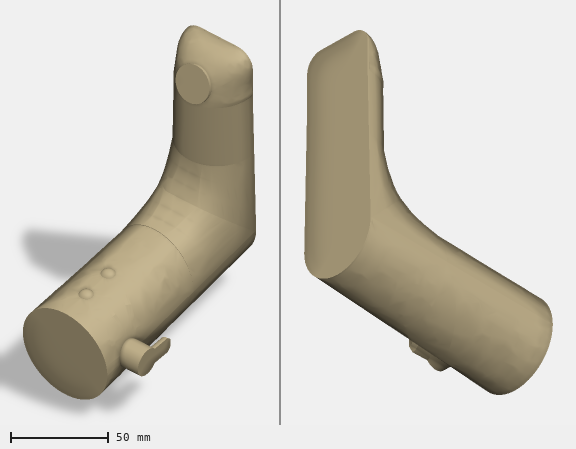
import cadquery as cq
import math

length = 127.5
height = 155.2
front_radius = 27.5
back_radius = 24.2
back_seam_height = 36.3
wall_strip = 1.0

column_depth = 24.4
head_base_height = 127.2
head_half_width = 22.0
head_corner_radius = 10.1
head_steps = 6
head_last_angle = 88.0

bend_radius = 27.0
top_slope = 0.08
bend_steps = 3
ellipse_exponent = 2
mitre_exponent = 3.0
quarter_steps = 6

sensor_radius = 10.7
sensor_thickness = 5.5
sensor_tilt = 18.0
sensor_center = (0, -21.9, 138.1)

button_radius = 3.7
button_rise = 1.9
button_positions = (-91.7, -110.0)

knob_radius = 7.9
knob_y = -109.0
knob_z = 30.0
knob_end = 38.8
knob_start = 15.5
lever_reach = 19.2
lever_radius = 4.8
lever_corner = 2.3

spout_run = length - wall_strip
slope_angle = math.atan(top_slope)


def top_height(y):
    """Height of the spout's sloping top line."""
    return 2 * front_radius + top_slope * (y + length)


def seam_height(y):
    """Height of the line of greatest width along the spout."""
    return front_radius + (back_seam_height - front_radius) * (y + length) / spout_run


def spout_half_width(y):
    return front_radius + (back_radius - front_radius) * (y + length) / spout_run


def column_half_width(z):
    """Half-width of the column, which narrows from the seam to the head."""
    rise = (z - back_seam_height) / (head_base_height - back_seam_height)
    return back_radius + (head_half_width - back_radius) * rise


def half_ellipse(seam, crest, half_width):
    """Closed half-ellipse from a seam point to a crest point, both given as (y, z)."""
    center = cq.Vector(0, *seam)
    reach = cq.Vector(0, *crest) - center
    side = cq.Vector(half_width, 0, 0)
    normal = side.cross(reach)
    if side.Length >= reach.Length:
        major_axis, minor_axis, start = side, reach, 0
    else:
        major_axis, minor_axis, start = reach, side, -90
    arc = cq.Edge.makeEllipse(
        major_axis.Length, minor_axis.Length, center, normal, major_axis, start, start + 180, 1
    )
    return cq.Wire.assembleEdges([arc, cq.Edge.makeLine(center - side, center + side)])


def full_half_section(seam, crest, half_width, exponent):
    """Half-section like half_ellipse, but squared out to a superellipse."""
    if exponent == ellipse_exponent:
        return half_ellipse(seam, crest, half_width)
    center = cq.Vector(0, *seam)
    reach = cq.Vector(0, *crest) - center
    side = cq.Vector(half_width, 0, 0)
    quarter = []
    for step in range(quarter_steps):
        angle = math.pi / 2 * step / quarter_steps
        quarter.append((math.cos(angle) ** (2 / exponent), math.sin(angle) ** (2 / exponent)))
    mirrored = [(-across, up) for across, up in reversed(quarter)]
    points = [center + side * across + reach * up for across, up in quarter + [(0, 1)] + mirrored]
    arc = cq.Edge.makeSpline(points, tangents=[reach, reach * -1])
    return cq.Wire.assembleEdges([arc, cq.Edge.makeLine(center - side, center + side)])


def loft(sections, ruled=False):
    return cq.Workplane(obj=cq.Solid.makeLoft(sections, ruled))


bend_y = -column_depth - bend_radius
bend_z = top_height(bend_y) + bend_radius / math.cos(slope_angle)
bend_end_angle = -math.pi / 2 - slope_angle
bend_mid_angle = bend_end_angle / 2


def bend_point(angle):
    return (bend_y + bend_radius * math.cos(angle), bend_z + bend_radius * math.sin(angle))


def bend_exponent(part):
    """Section fullness from the end of the bend (part = 0) to the mitre (part = 1)."""
    return ellipse_exponent + (mitre_exponent - ellipse_exponent) * part


def make_spout():
    """Tapered spout: half-round underside and a top that rises into the bend."""
    underside_sections = []
    for y in (-length, -wall_strip):
        seam = seam_height(y)
        half_width = spout_half_width(y)
        underside_sections.append(half_ellipse((y, seam), (y, seam - half_width), half_width))
    underside = loft(underside_sections, ruled=True)
    bend_start_y = bend_point(bend_end_angle)[0]
    straight = loft([
        half_ellipse((y, seam_height(y)), (y, top_height(y)), spout_half_width(y))
        for y in (-length, bend_start_y)
    ], ruled=True)
    sections = []
    for step in range(bend_steps + 1):
        part = step / bend_steps
        angle = bend_end_angle + (bend_mid_angle - bend_end_angle) * part
        y = bend_start_y + (-wall_strip - bend_start_y) * part
        seam = (y, seam_height(y))
        sections.append(
            full_half_section(seam, bend_point(angle), spout_half_width(y), bend_exponent(part))
        )
    return underside.union(straight).union(loft(sections))


def make_column():
    """Half-round column standing on the mitre and reaching the head."""
    sections = []
    for step in range(bend_steps + 1):
        part = step / bend_steps
        z = back_seam_height + (bend_z - back_seam_height) * part
        crest = bend_point(bend_mid_angle * (1 - part))
        sections.append(
            full_half_section((-wall_strip, z), crest, column_half_width(z), bend_exponent(1 - part))
        )
    upright = loft([
        half_ellipse((-wall_strip, z), (-column_depth, z), column_half_width(z))
        for z in (bend_z, head_base_height)
    ], ruled=True)
    return loft(sections).union(upright)


def make_head():
    """Head closing in an elliptical curve at the front and rounded upper corners."""
    head_rise = height - head_base_height
    corner_height = height - head_corner_radius
    sections = []
    for step in range(head_steps + 1):
        angle = math.radians(head_last_angle * step / head_steps)
        z = head_base_height + head_rise * math.sin(angle)
        crest_y = -wall_strip - (column_depth - wall_strip) * math.cos(angle)
        above = max(0, z - corner_height)
        inset = head_corner_radius - math.sqrt(head_corner_radius**2 - above**2)
        sections.append(half_ellipse((-wall_strip, z), (crest_y, z), head_half_width - inset))
    return loft(sections)


def make_wall_strip():
    """Thin straight band against the wall, following the back outline."""
    plate = (
        cq.Workplane("XZ")
        .moveTo(-back_radius, back_seam_height)
        .threePointArc((0, back_seam_height - back_radius), (back_radius, back_seam_height))
        .lineTo(head_half_width, head_base_height)
        .lineTo(head_half_width, height)
        .lineTo(-head_half_width, height)
        .lineTo(-head_half_width, head_base_height)
        .close()
        .extrude(wall_strip)
    )
    return plate.edges("|Y and >Z").fillet(head_corner_radius)


def sensor_cylinder(radius, depth):
    """Cylinder on the tilted sensor face; positive depth points away from the head."""
    tilt = math.radians(sensor_tilt)
    face = cq.Plane(sensor_center, (1, 0, 0), (0, -math.cos(tilt), math.sin(tilt)))
    return cq.Workplane(face).circle(radius).extrude(depth)


def make_button(y):
    """Spherical cap rising above the spout's top line."""
    ball_radius = (button_radius**2 + button_rise**2) / (2 * button_rise)
    return cq.Workplane().sphere(ball_radius).translate((0, y, top_height(y) + button_rise - ball_radius))


def make_knob():
    """Round knob with a half-round lever at its outer end, pointing to the wall."""
    knob = (
        cq.Workplane("YZ", origin=(knob_start, knob_y, knob_z))
        .circle(knob_radius)
        .extrude(knob_end - knob_start)
    )
    lever = (
        cq.Workplane("XZ", origin=(knob_end, knob_y, knob_z))
        .moveTo(0, -lever_radius)
        .threePointArc((-lever_radius, 0), (0, lever_radius))
        .close()
        .extrude(-lever_reach)
        .faces(">Y")
        .edges("%CIRCLE")
        .chamfer(lever_corner)
    )
    return knob.union(lever)


result = make_spout().union(make_column()).union(make_head()).union(make_wall_strip())
result = result.cut(sensor_cylinder(sensor_radius, sensor_thickness))
result = result.union(sensor_cylinder(sensor_radius, -sensor_thickness))
result = result.union(make_knob())
for button_y in button_positions:
    result = result.union(make_button(button_y))